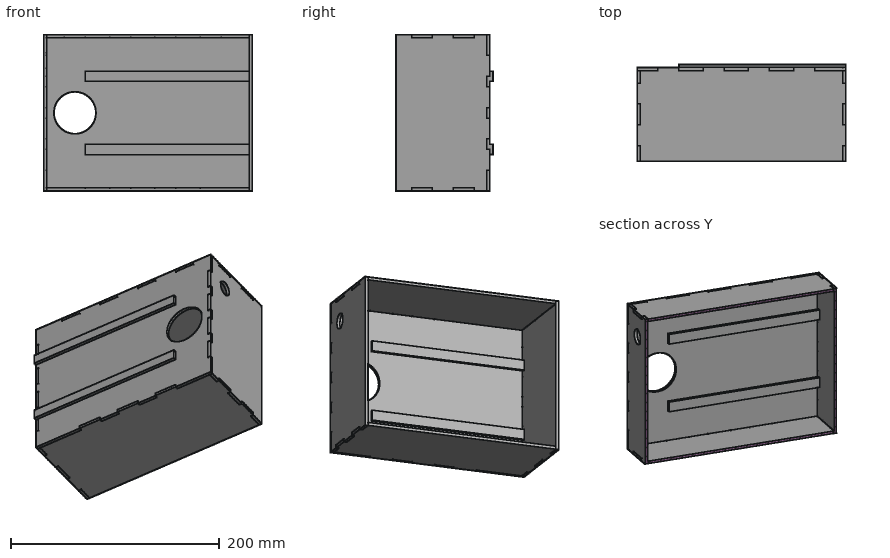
import cadquery as cq

LENGTH = 200.0
DEPTH = 90.0
HEIGHT = 150.0
SHEET = 3.0

TAB = 20.0
SIDE_FIRST_TAB = 15.0
SIDE_PITCH = 2 * TAB
SIDE_COUNT = 2
BACK_Z_FIRST_TAB = 20.0
BACK_Z_PITCH = 30.0
BACK_Z_COUNT = 4
BACK_X_FIRST_TAB = 20.0
BACK_X_LAST_TAB_END = 170.0
BACK_X_COUNT = 4
BACK_X_PITCH = (BACK_X_LAST_TAB_END - TAB - BACK_X_FIRST_TAB) / (BACK_X_COUNT - 1)
BOTTOM_TAB = BACK_X_PITCH - TAB

RAIL_START = 40.0
RAIL_HEIGHT = 10.0
RAIL_GAP = SHEET
RAIL_BOTTOMS = (35.0, 105.0)

BACK_HOLE_DIAMETER = 40.0
BACK_HOLE_X = 30.0
SIDE_HOLE_DIAMETER = 15.0
SIDE_HOLE_Y = 65.0
SIDE_HOLE_Z = 125.0

INNER_RIGHT = LENGTH - SHEET
INNER_BACK = DEPTH - SHEET
INNER_TOP = HEIGHT - SHEET


def block(x_range, y_range, z_range):
    """Box spanning the given (low, high) limits on each axis."""
    sizes = [high - low for low, high in (x_range, y_range, z_range)]
    corner = (x_range[0], y_range[0], z_range[0])
    return cq.Workplane("XY").box(*sizes, centered=False).translate(corner)


def tab_ranges(first, pitch, count, width=TAB):
    """(low, high) limits of a row of equal fingers."""
    starts = [first + i * pitch for i in range(count)]
    return [(start, start + width) for start in starts]


def make_horizontal_panel(z_range, back_tabs):
    """Top or bottom panel with fingers into both side panels and the back panel."""
    panel = block((SHEET, INNER_RIGHT), (0, INNER_BACK), z_range)
    for y_range in tab_ranges(SIDE_FIRST_TAB, SIDE_PITCH, SIDE_COUNT):
        panel = panel.union(block((0, LENGTH), y_range, z_range))
    for x_range in back_tabs:
        panel = panel.union(block(x_range, (INNER_BACK - SHEET, DEPTH), z_range))
    return panel


def make_side_panel(x_range):
    """Full-height side panel with fingers into the back, before the top and bottom joints."""
    panel = block(x_range, (0, INNER_BACK), (0, HEIGHT))
    for z_range in tab_ranges(BACK_Z_FIRST_TAB, BACK_Z_PITCH, BACK_Z_COUNT):
        panel = panel.union(block(x_range, (INNER_BACK - SHEET, DEPTH), z_range))
    return panel


def make_rail(bottom):
    """Strip in front of the back panel, ending against the right panel."""
    rail_back = INNER_BACK - RAIL_GAP
    return block(
        (RAIL_START, INNER_RIGHT),
        (rail_back - SHEET, rail_back),
        (bottom, bottom + RAIL_HEIGHT),
    )


def make_rib(bottom):
    """Strip on the outside of the back panel, flush with the right side of the box."""
    return block(
        (RAIL_START, LENGTH),
        (DEPTH, DEPTH + SHEET),
        (bottom, bottom + RAIL_HEIGHT),
    )


def cut_all(body, tools):
    """Cut the matching recess for each tool body."""
    for tool in tools:
        body = body.cut(tool)
    return body


rails = [make_rail(bottom) for bottom in RAIL_BOTTOMS]

top_back_tabs = tab_ranges(BACK_X_FIRST_TAB, BACK_X_PITCH, BACK_X_COUNT)
bottom_back_tabs = tab_ranges(BACK_X_FIRST_TAB + TAB, BACK_X_PITCH, BACK_X_COUNT - 1, BOTTOM_TAB)
top_panel = make_horizontal_panel((INNER_TOP, HEIGHT), top_back_tabs)
bottom_panel = make_horizontal_panel((0, SHEET), bottom_back_tabs)

side_hole = (
    cq.Workplane("YZ")
    .center(SIDE_HOLE_Y, SIDE_HOLE_Z)
    .circle(SIDE_HOLE_DIAMETER / 2)
    .extrude(SHEET)
)
left_panel = cut_all(make_side_panel((0, SHEET)), [bottom_panel, top_panel, side_hole])

right_panel = cut_all(make_side_panel((INNER_RIGHT, LENGTH)), [bottom_panel, top_panel])

back_hole = (
    cq.Workplane("XZ", origin=(BACK_HOLE_X, INNER_BACK, HEIGHT / 2))
    .circle(BACK_HOLE_DIAMETER / 2)
    .extrude(-SHEET)
)
back_panel = cut_all(
    block((0, LENGTH), (INNER_BACK, DEPTH), (0, HEIGHT)),
    [bottom_panel, top_panel, left_panel, right_panel, back_hole],
)
for bottom in RAIL_BOTTOMS:
    back_panel = back_panel.union(make_rib(bottom))

result = cq.Compound.makeCompound([
    bottom_panel.val(),
    top_panel.val(),
    left_panel.val(),
    right_panel.val(),
    back_panel.val(),
    *[rail.val() for rail in rails],
])